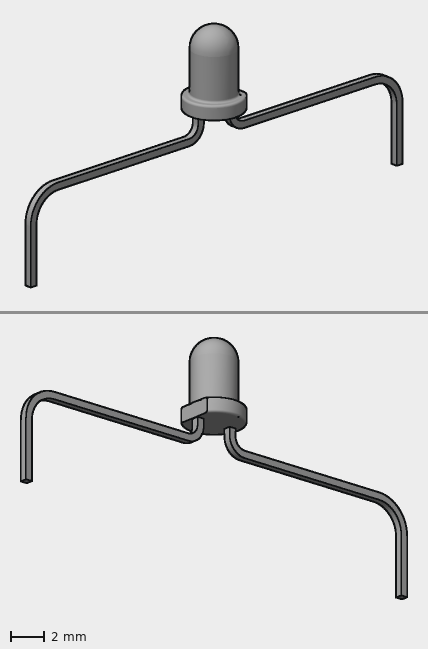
import cadquery as cq
import math

lens_diameter = 3.0
lens_height = 5.5
flange_diameter = 4.0
flange_thickness = 1.0
edge_round = 0.15
flat_distance = 1.6

wire_width = 0.5
lead_offset = 1.28
lead_span = 30.5
lead_drop = 7.5
shoulder_depth = 1.25
upper_bend_radius = 0.98
lower_bend_radius = 2.0

lens_radius = lens_diameter / 2
flange_radius = flange_diameter / 2
lead_reach = lead_span / 2 - wire_width / 2
level_z = -shoulder_depth - wire_width / 2


def arc_middle(center, radius, degrees):
    """Point on an arc, used as the middle point of a three-point arc."""
    angle = math.radians(degrees)
    return (center[0] + radius * math.cos(angle), center[1] + radius * math.sin(angle))


def make_lens():
    """Domed lens with a rounded flange, cut flat on the +Y side."""
    rim_inner = flange_radius - edge_round
    rim_top = flange_thickness - edge_round
    foot_radius = lens_radius + edge_round
    foot_top = flange_thickness + edge_round
    dome_base = lens_height - lens_radius
    profile = (
        cq.Workplane("XZ")
        .lineTo(rim_inner, 0)
        .threePointArc(arc_middle((rim_inner, edge_round), edge_round, -45), (flange_radius, edge_round))
        .lineTo(flange_radius, rim_top)
        .threePointArc(arc_middle((rim_inner, rim_top), edge_round, 45), (rim_inner, flange_thickness))
        .lineTo(foot_radius, flange_thickness)
        .threePointArc(arc_middle((foot_radius, foot_top), edge_round, 225), (lens_radius, foot_top))
        .lineTo(lens_radius, dome_base)
        .threePointArc(arc_middle((0, dome_base), lens_radius, 45), (0, lens_height))
        .close()
    )
    body = profile.revolve(360, (0, 0, 0), (0, 1, 0))
    flat_cutter = (
        cq.Workplane("XY")
        .box(flange_diameter, flange_diameter, lens_height, centered=(True, False, False))
        .translate((0, flat_distance, 0))
    )
    return body.cut(flat_cutter)


def make_lead(side):
    """Lead bent outward below the lens, then down; side is +1 or -1 along Y."""
    upper_center = (lead_offset + upper_bend_radius, level_z + upper_bend_radius)
    lower_center = (lead_reach - lower_bend_radius, level_z - lower_bend_radius)
    upper_middle = arc_middle(upper_center, upper_bend_radius, 225)
    lower_middle = arc_middle(lower_center, lower_bend_radius, 45)
    path = (
        cq.Workplane("YZ")
        .moveTo(side * lead_offset, 0)
        .lineTo(side * lead_offset, upper_center[1])
        .threePointArc((side * upper_middle[0], upper_middle[1]), (side * upper_center[0], level_z))
        .lineTo(side * lower_center[0], level_z)
        .threePointArc((side * lower_middle[0], lower_middle[1]), (side * lead_reach, lower_center[1]))
        .lineTo(side * lead_reach, -lead_drop)
    )
    return (
        cq.Workplane("XY")
        .center(0, side * lead_offset)
        .rect(wire_width, wire_width)
        .sweep(path)
    )


lens = make_lens()
leads = [make_lead(side) for side in (-1, 1)]

result = cq.Compound.makeCompound([lens.val(), *[lead.val() for lead in leads]])